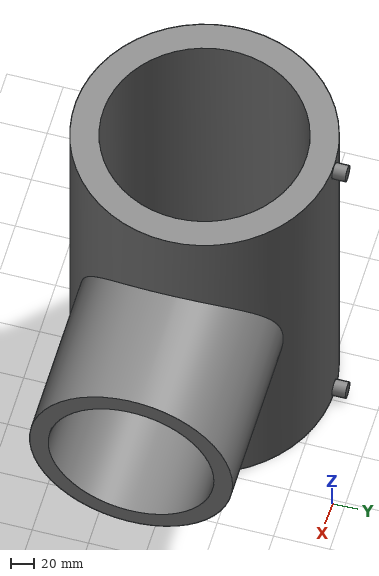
import cadquery as cq

pipe_diameter = 230.0
pipe_bore = 180.0
pipe_length = 340.0

overall_length = 345.0
branch_diameter = pipe_bore
branch_bore = 147.0
branch_reach = overall_length - pipe_diameter / 2

pin_diameter = 14.5
pin_height = 11.7
pin_end_distance = 8.3

pipe_radius = pipe_diameter / 2
wall = (pipe_diameter - pipe_bore) / 2


def upright_cylinder(diameter):
    """Cylinder along Z, as long as the pipe and centred on the origin."""
    return cq.Workplane("XY").circle(diameter / 2).extrude(pipe_length / 2, both=True)


def branch_cylinder(diameter):
    """Cylinder from the pipe axis to the open end of the branch."""
    return cq.Workplane("YZ").circle(diameter / 2).extrude(branch_reach)


def terminal_pin(height):
    """Round pin rooted halfway into the pipe wall, pointing along +Y."""
    root = pipe_radius - wall / 2
    pin_length = pipe_radius + pin_height - root
    return (
        cq.Workplane("XZ", origin=(0, root, height))
        .circle(pin_diameter / 2)
        .extrude(-pin_length)
    )


tee = upright_cylinder(pipe_diameter).union(branch_cylinder(branch_diameter))
tee = tee.cut(upright_cylinder(pipe_bore)).cut(branch_cylinder(branch_bore))

pin_offset = pipe_length / 2 - pin_end_distance
for pin_z in (-pin_offset, pin_offset):
    tee = tee.union(terminal_pin(pin_z))

result = tee